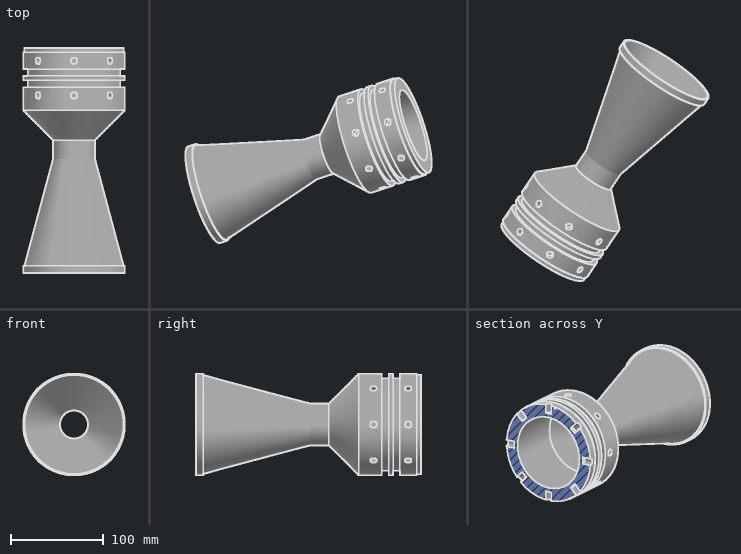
import cadquery as cq
import math

TOTAL_LENGTH = 243.14
BODY_RADIUS = 55.0
LIP_RADIUS = 53.8
LIP_LENGTH = 5.0
GROOVE_FLOOR_RADIUS = 50.0
GROOVE_WIDTH = 7.2
GROOVE_LAND_WIDTH = 5.0
FRONT_BAND_LENGTH = 18.0
REAR_BAND_LENGTH = 25.0
COLLAR_RADIUS = 22.7
COLLAR_LENGTH = 20.0
EXIT_RING_LENGTH = 8.0

CONVERGING_ANGLE = math.radians(45)
DIVERGING_ANGLE = math.radians(15)
THROAT_RADIUS = 15.0
CHAMBER_WALL = 15.0

HOLE_DIAMETER = 7.0
HOLE_DEPTH = 10.0
HOLE_ROWS = 2
HOLES_PER_ROW = 8
HOLE_ROW_SPACING = 37.4
HOLE_FROM_INLET = 14.0

INLET_Y = TOTAL_LENGTH / 2
EXIT_Y = -TOTAL_LENGTH / 2
LIP_END_Y = INLET_Y - LIP_LENGTH
FIRST_GROOVE_Y = LIP_END_Y - FRONT_BAND_LENGTH
SECOND_GROOVE_Y = FIRST_GROOVE_Y - GROOVE_WIDTH - GROOVE_LAND_WIDTH
BODY_END_Y = SECOND_GROOVE_Y - GROOVE_WIDTH - REAR_BAND_LENGTH
COLLAR_START_Y = BODY_END_Y - (BODY_RADIUS - COLLAR_RADIUS) / math.tan(CONVERGING_ANGLE)
COLLAR_END_Y = COLLAR_START_Y - COLLAR_LENGTH
EXIT_RING_Y = EXIT_Y + EXIT_RING_LENGTH


def revolve_about_y(points):
    """Turn a closed (radius, y) outline into a solid of revolution about Y."""
    return cq.Workplane("XY").polyline(points).close().revolve(360, (0, 0, 0), (0, 1, 0))


def make_outer_body():
    """Stepped inlet body, converging cone, collar, diverging cone and exit ring."""
    cone_length = COLLAR_END_Y - EXIT_RING_Y
    cone_end_radius = COLLAR_RADIUS + cone_length * math.tan(DIVERGING_ANGLE)
    return revolve_about_y([
        (0, INLET_Y),
        (LIP_RADIUS, INLET_Y),
        (LIP_RADIUS, LIP_END_Y),
        (BODY_RADIUS, LIP_END_Y),
        (BODY_RADIUS, BODY_END_Y),
        (COLLAR_RADIUS, COLLAR_START_Y),
        (COLLAR_RADIUS, COLLAR_END_Y),
        (cone_end_radius, EXIT_RING_Y),
        (BODY_RADIUS, EXIT_RING_Y),
        (BODY_RADIUS, EXIT_Y),
        (0, EXIT_Y),
    ])


def make_flow_passage():
    """Chamber bore, converging cone, sharp throat at the collar start and diverging cone."""
    chamber_radius = BODY_RADIUS - CHAMBER_WALL
    throat_y = COLLAR_START_Y
    chamber_end_y = throat_y + (chamber_radius - THROAT_RADIUS) / math.tan(CONVERGING_ANGLE)
    exit_radius = THROAT_RADIUS + (throat_y - EXIT_Y) * math.tan(DIVERGING_ANGLE)
    return revolve_about_y([
        (0, INLET_Y),
        (chamber_radius, INLET_Y),
        (chamber_radius, chamber_end_y),
        (THROAT_RADIUS, throat_y),
        (exit_radius, EXIT_Y),
        (0, EXIT_Y),
    ])


def make_ring_groove(top_y):
    """Square seal groove running around the body, from top_y toward the exit."""
    return revolve_about_y([
        (GROOVE_FLOOR_RADIUS, top_y),
        (BODY_RADIUS, top_y),
        (BODY_RADIUS, top_y - GROOVE_WIDTH),
        (GROOVE_FLOOR_RADIUS, top_y - GROOVE_WIDTH),
    ])


def make_screw_hole(y, angle):
    """Cutter for one flat-bottomed radial hole at the given Y station and angle about Y."""
    cutter = (
        cq.Workplane("XY", origin=(0, y, BODY_RADIUS))
        .circle(HOLE_DIAMETER / 2)
        .extrude(-HOLE_DEPTH)
    )
    return cutter.rotate((0, 0, 0), (0, 1, 0), angle)


result = make_outer_body().cut(make_flow_passage())

for groove_y in (FIRST_GROOVE_Y, SECOND_GROOVE_Y):
    result = result.cut(make_ring_groove(groove_y))

for row in range(HOLE_ROWS):
    row_y = INLET_Y - HOLE_FROM_INLET - row * HOLE_ROW_SPACING
    for index in range(HOLES_PER_ROW):
        result = result.cut(make_screw_hole(row_y, index * 360 / HOLES_PER_ROW))